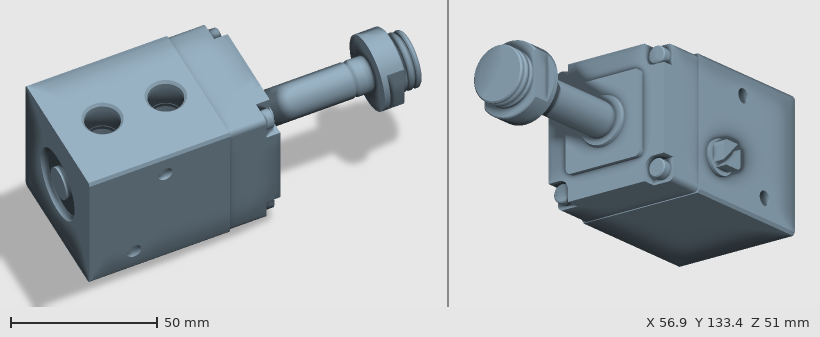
import cadquery as cq
import math

BLOCK_WIDTH = 50.8
BLOCK_HEIGHT = 51.0
BLOCK_LENGTH = 53.3
BLOCK_CHAMFER_X = 0.8
BLOCK_CHAMFER_Z = 1.2

PORT_POSITIONS = (17.1, 41.1)
PORT_DIAMETER = 12.7
PORT_MOUTH_DIAMETER = 14.5
PORT_DEPTH = 10.7
DRILL_DIAMETER = 12.0
DRILL_DEPTH = 12.0
DRILL_TIP_ANGLE = 118.0

MOUNTING_DIAMETER = 5.5
MOUNTING_POSITIONS = ((28.8, 17.0), (17.0, -17.0))

RECESS_DIAMETER = 27.0
RECESS_FLOOR_DIAMETER = 25.0
RECESS_DEPTH = 2.5
RECESS_MOUTH_DEPTH = 1.7
RECESS_BOSS_DIAMETER = 12.0
RECESS_BOSS_HEIGHT = 2.1

OVERRIDE_Y = 43.0
OVERRIDE_Z = -10.0
OVERRIDE_WASHER_DIAMETER = 13.2
OVERRIDE_WASHER_THICKNESS = 1.6
OVERRIDE_HEAD_SIZE = 9.3
OVERRIDE_HEAD_HEIGHT = 4.5
OVERRIDE_HEAD_FILLET = 2.0
OVERRIDE_SLOT_WIDTH = 2.1
OVERRIDE_SLOT_ANGLE = 45.0

CAP_WIDTH = 50.0
CAP_HEIGHT = 50.3
CAP_LENGTH = 19.2
CAP_FILLET = 2.1
CAP_END = BLOCK_LENGTH + CAP_LENGTH

SCREW_OFFSET = 20.5
SCREW_HEAD_DIAMETER = 7.0
SCREW_HEAD_HEIGHT = 3.7
SCREW_HEAD_CHAMFER = 0.4
SCREW_SEAT_DIAMETER = 7.9
SCREW_SEAT_DEPTH = 5.2

PLATE_SIZE = 32.0
PLATE_THICKNESS = 2.0
PLATE_FILLET = 2.1
PLATE_END = CAP_END + PLATE_THICKNESS

COLLAR_DIAMETER = 19.0
COLLAR_THICKNESS = 1.3
COLLAR_TOP_DIAMETER = 17.9
TUBE_DIAMETER = 13.2
TUBE_END = 116.8
NECK_DIAMETER = 12.7
NECK_END = 126.4
GROOVE_START = 109.7
GROOVE_END = 111.6
GROOVE_DIAMETER = 12.3

NUT_START = 117.5
NUT_SHOULDER = 126.4
NUT_END = 133.4
NUT_DIAMETER = 28.0
NUT_CHAMFER = 0.4
NUT_FLANGE_THICKNESS = 2.1
NUT_ACROSS_FLATS = 21.9
RIM_DIAMETER = 21.0
RIM_CHAMFER = 0.5
RIM_START = 131.5
LOWER_RIM_END = 128.1
SEAL_GROOVE_DIAMETER = 18.7
SEAL_CENTRE = 129.7
SEAL_SECTION_DIAMETER = 2.8


def cylinder(diameter, start, end):
    """Cylinder on the valve axis between two Y positions."""
    direction = cq.Vector(0, 1, 0)
    base = cq.Vector(0, start, 0)
    return cq.Workplane(obj=cq.Solid.makeCylinder(diameter / 2, end - start, base, direction))


def rectangular_bar(width, height, start, end):
    """Bar centred on the valve axis between two Y positions."""
    return cq.Workplane().box(width, end - start, height).translate((0, (start + end) / 2, 0))


def revolve_about_y(profile):
    return profile.revolve(360, (0, 0), (0, 1))


def make_block():
    half_width = BLOCK_WIDTH / 2
    half_height = BLOCK_HEIGHT / 2
    flat_x = half_width - BLOCK_CHAMFER_X
    flat_z = half_height - BLOCK_CHAMFER_Z
    outline = [
        (half_width, flat_z), (flat_x, half_height), (-flat_x, half_height), (-half_width, flat_z),
        (-half_width, -flat_z), (-flat_x, -half_height), (flat_x, -half_height), (half_width, -flat_z),
    ]
    return cq.Workplane("XZ").polyline(outline).close().extrude(-BLOCK_LENGTH)


def make_port(position):
    """Stepped port cutter with a 45 degree mouth in the +Z face and a conical bottom."""
    port_radius = PORT_DIAMETER / 2
    mouth_radius = PORT_MOUTH_DIAMETER / 2
    drill_radius = DRILL_DIAMETER / 2
    top = BLOCK_HEIGHT / 2
    chamfer_end = top - (mouth_radius - port_radius)
    step = top - PORT_DEPTH
    drill_end = top - DRILL_DEPTH
    tip_depth = drill_radius / math.tan(math.radians(DRILL_TIP_ANGLE / 2))
    profile = [
        (0, top), (mouth_radius, top), (port_radius, chamfer_end), (port_radius, step),
        (drill_radius, step), (drill_radius, drill_end), (0, drill_end - tip_depth),
    ]
    cutter = cq.Workplane("XZ").polyline(profile).close().revolve(360, (0, 0), (0, 1))
    return cutter.translate((0, position, 0))


def make_mounting_hole(y, z):
    cutter = cq.Workplane("YZ").center(y, z).circle(MOUNTING_DIAMETER / 2)
    return cutter.extrude(BLOCK_WIDTH / 2, both=True)


def make_end_recess():
    """Round recess cutter for the Y = 0 face, with a tapered mouth and a central boss left standing."""
    floor_radius = RECESS_FLOOR_DIAMETER / 2
    boss_radius = RECESS_BOSS_DIAMETER / 2
    boss_top = RECESS_DEPTH - RECESS_BOSS_HEIGHT
    profile = [
        (0, 0), (RECESS_DIAMETER / 2, 0), (floor_radius, RECESS_MOUTH_DEPTH),
        (floor_radius, RECESS_DEPTH), (boss_radius, RECESS_DEPTH),
        (boss_radius, boss_top), (0, boss_top),
    ]
    return revolve_about_y(cq.Workplane("XY").polyline(profile).close())


def make_override():
    """Manual override: round washer and square head split by a diagonal slot."""
    washer_face = OVERRIDE_WASHER_THICKNESS
    washer = cq.Workplane("YZ").circle(OVERRIDE_WASHER_DIAMETER / 2).extrude(washer_face)
    head = cq.Workplane("YZ", origin=(washer_face, 0, 0)).rect(OVERRIDE_HEAD_SIZE, OVERRIDE_HEAD_SIZE)
    head = head.extrude(OVERRIDE_HEAD_HEIGHT).edges("|X").fillet(OVERRIDE_HEAD_FILLET)
    slot = cq.Workplane("YZ", origin=(washer_face, 0, 0))
    slot = slot.rect(2 * OVERRIDE_HEAD_SIZE, OVERRIDE_SLOT_WIDTH).extrude(OVERRIDE_HEAD_HEIGHT)
    slot = slot.rotate((0, 0, 0), (1, 0, 0), OVERRIDE_SLOT_ANGLE)
    override = washer.union(head.cut(slot)).rotate((0, 0, 0), (0, 0, 1), 180)
    return override.translate((-BLOCK_WIDTH / 2, OVERRIDE_Y, OVERRIDE_Z))


def make_screw_seat(side_x, side_z):
    """Corner cutter, open to both outer sides and rounded around the screw head."""
    seat_floor = CAP_END - SCREW_SEAT_DEPTH
    seat_radius = SCREW_SEAT_DIAMETER / 2
    reach_x = CAP_WIDTH / 2 - SCREW_OFFSET + seat_radius
    reach_z = CAP_HEIGHT / 2 - SCREW_OFFSET + seat_radius
    seat = cq.Workplane().box(reach_x, SCREW_SEAT_DEPTH, reach_z)
    inner_edge = seat.edges("|Y").edges(cq.selectors.NearestToPointSelector(
        (-side_x * reach_x / 2, 0, -side_z * reach_z / 2)))
    seat = inner_edge.fillet(seat_radius)
    centre_x = side_x * (CAP_WIDTH - reach_x) / 2
    centre_z = side_z * (CAP_HEIGHT - reach_z) / 2
    return seat.translate((centre_x, seat_floor + SCREW_SEAT_DEPTH / 2, centre_z))


def make_screw_head(side_x, side_z):
    seat_floor = CAP_END - SCREW_SEAT_DEPTH
    head = cylinder(SCREW_HEAD_DIAMETER, seat_floor, seat_floor + SCREW_HEAD_HEIGHT)
    head = head.edges(">Y").chamfer(SCREW_HEAD_CHAMFER)
    return head.translate((side_x * SCREW_OFFSET, 0, side_z * SCREW_OFFSET))


def make_cap():
    cap = rectangular_bar(CAP_WIDTH, CAP_HEIGHT, BLOCK_LENGTH, CAP_END).edges("|Y").fillet(CAP_FILLET)
    for side_x in (-1, 1):
        for side_z in (-1, 1):
            cap = cap.cut(make_screw_seat(side_x, side_z))
            cap = cap.union(make_screw_head(side_x, side_z))
    plate = rectangular_bar(PLATE_SIZE, PLATE_SIZE, CAP_END, PLATE_END).edges("|Y").fillet(PLATE_FILLET)
    return cap.union(plate)


def make_tube():
    collar_end = PLATE_END + COLLAR_THICKNESS
    profile = [
        (0, PLATE_END), (COLLAR_DIAMETER / 2, PLATE_END), (COLLAR_TOP_DIAMETER / 2, collar_end),
        (TUBE_DIAMETER / 2, collar_end), (TUBE_DIAMETER / 2, GROOVE_START),
        (GROOVE_DIAMETER / 2, (GROOVE_START + GROOVE_END) / 2), (TUBE_DIAMETER / 2, GROOVE_END),
        (TUBE_DIAMETER / 2, TUBE_END), (NECK_DIAMETER / 2, TUBE_END), (NECK_DIAMETER / 2, NECK_END),
        (0, NECK_END),
    ]
    return revolve_about_y(cq.Workplane("XY").polyline(profile).close())


def make_valve():
    """Block, override, cap with screws, and armature tube as one solid."""
    valve = make_block()
    for position in PORT_POSITIONS:
        valve = valve.cut(make_port(position))
    for y, z in MOUNTING_POSITIONS:
        valve = valve.cut(make_mounting_hole(y, z))
    valve = valve.cut(make_end_recess())
    return valve.union(make_override()).union(make_cap()).union(make_tube())


def make_seal():
    """Sealing ring with a round outer face; its square inner part is buried in the spigot."""
    section_radius = SEAL_SECTION_DIAMETER / 2
    outer = RIM_DIAMETER / 2
    middle = outer - section_radius
    inner = outer - SEAL_SECTION_DIAMETER
    low = SEAL_CENTRE - section_radius
    high = SEAL_CENTRE + section_radius
    section = cq.Workplane("XY").moveTo(middle, low).threePointArc((outer, SEAL_CENTRE), (middle, high))
    section = section.lineTo(inner, high).lineTo(inner, low).close()
    return revolve_about_y(section)


def make_nut():
    """Flanged nut with two flats, a sealing ring between two rims and a blind bore for the tube neck."""
    nut = cylinder(NUT_DIAMETER, NUT_START, NUT_SHOULDER).edges(">Y").chamfer(NUT_CHAMFER)
    flats = rectangular_bar(NUT_ACROSS_FLATS, NUT_DIAMETER, NUT_START + NUT_FLANGE_THICKNESS, NUT_SHOULDER)
    flange = cylinder(NUT_DIAMETER, NUT_START, NUT_START + NUT_FLANGE_THICKNESS)
    nut = nut.intersect(flats.union(flange))

    spigot = cylinder(SEAL_GROOVE_DIAMETER, NUT_SHOULDER, NUT_END)
    lower_rim = cylinder(RIM_DIAMETER, NUT_SHOULDER, LOWER_RIM_END).edges(">Y").chamfer(RIM_CHAMFER)
    upper_rim = cylinder(RIM_DIAMETER, RIM_START, NUT_END).edges().chamfer(RIM_CHAMFER)
    nut = nut.union(spigot).union(lower_rim).union(upper_rim).union(make_seal())
    return nut.cut(cylinder(NECK_DIAMETER, NUT_START, NECK_END))


valve = make_valve()
nut = make_nut()
result = cq.Compound.makeCompound([valve.val(), nut.val()])